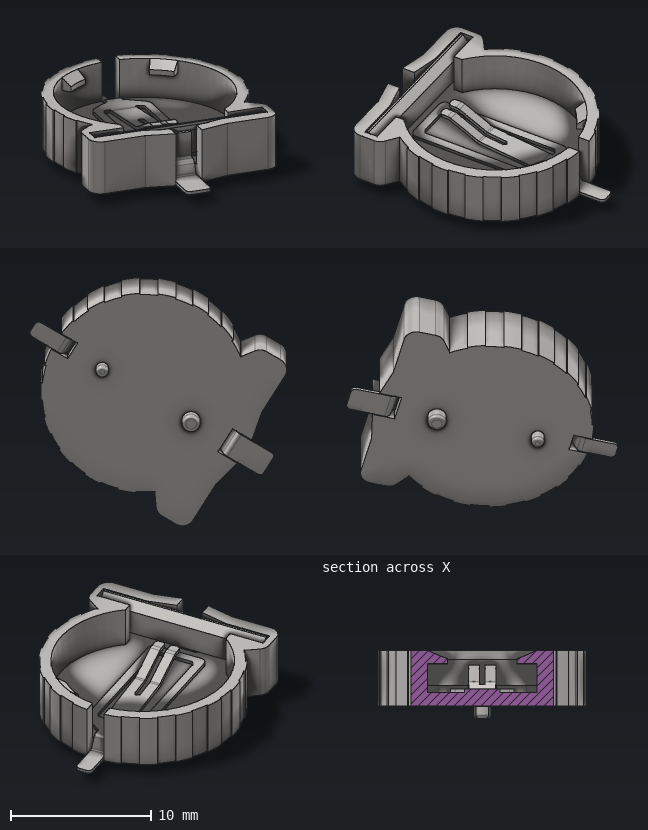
import cadquery as cq
import math


body_height = 4.0
floor_height = 1.0
pocket_radius = 6.55
ridge_radius = 7.45
groove_radius = 7.35
ridge_angle = 10.13
ridge_count = 5
left_ridge_angle = 3 * ridge_angle

ear_half_width = 7.175
ear_right_x = 7.87
ear_corner_radius = 0.9
ear_corner_x = 5.34
ear_root_x = 4.43
ear_root_y = 5.92
bulge_start_y = 3.15
bulge_end_y = 1.0
bulge_depth = 0.48
throat_half_width = 4.02
recess_left_x = 5.85
recess_right_x = 6.86
recess_half_width = 6.64

lug_start_angle = 25.0
lug_end_angle = 43.0
lug_inner_radius = 5.82
lug_inner_top = 3.42
lug_bottom = 3.03

peg_length = 0.9
peg_edge_radius = 0.27
small_peg_diameter = 0.9
small_peg_x = -3.57
large_peg_diameter = 1.3
large_peg_x = 3.86

sheet = 0.25
bend_radius = 0.15
lead_corner_radius = 0.35
slot_clearance = 0.05
plate_top = floor_height + sheet

left_lead_end_x = -9.4
left_lead_bend_x = -6.05
left_lead_width = 1.25
left_lead_slope = 60.0
neck_end_x = -5.73
plate_shoulder_x = -4.6
plate_right_x = 5.73
plate_half_width = 2.25
plate_shoulder_radius = 0.7
plate_corner_radius = 0.5
window_left_x = -4.2
window_right_x = 5.07
window_half_width = 1.58
window_corner_radius = 0.35

tongue_bend_x = -4.0
tongue_half_width = 0.98
tongue_knee_x = 0.67
tongue_tip_bend_x = 3.1
tongue_tip_x = 4.06
tongue_low_slope = 6.0
tongue_high_slope = 26.0
tongue_bend_radius = 0.4
tip_corner_radius = 0.28
slit_left_x = -0.94
slit_width = 0.42
slit_end_radius = 0.2

upright_front_x = 6.03
upright_half_width = 6.52
upright_bottom_z = 1.5
upright_bend_z = 3.33
upright_lip_front_x = 6.6
upright_lip_back_x = 6.76
right_lead_bend_x = 6.72
right_lead_end_x = 10.36
right_lead_width = 1.9
right_lead_slope = 70.0


def box(x_range, y_half, z_range):
    """Box symmetric about the XZ plane."""
    x_size = x_range[1] - x_range[0]
    z_size = z_range[1] - z_range[0]
    return (
        cq.Workplane("XY")
        .box(x_size, 2 * y_half, z_size, centered=(False, True, False))
        .translate((x_range[0], 0, z_range[0]))
    )


def polar(radius, angle_from_left):
    """Point at an angle measured clockwise from the -X axis."""
    angle = math.radians(180.0 - angle_from_left)
    return (radius * math.cos(angle), radius * math.sin(angle))


def mirrored(points):
    """Closed outline from its +Y half, listed from one end to the other."""
    return points + [(x, -y) for x, y in reversed(points)]


def sector(radius, centre, width, height):
    """Pie slice of the round wall."""
    return (
        cq.Workplane("XY")
        .lineTo(*polar(radius, centre - width / 2))
        .threePointArc(polar(radius, centre), polar(radius, centre + width / 2))
        .close()
        .extrude(height)
    )


def make_round_wall():
    wall = cq.Workplane("XY").circle(groove_radius).extrude(body_height)
    wall = wall.union(sector(ridge_radius, 0, left_ridge_angle, body_height))
    for index in range(ridge_count):
        centre = left_ridge_angle + 2 * index * ridge_angle
        for side in (1, -1):
            wall = wall.union(sector(ridge_radius, side * centre, ridge_angle, body_height))
    return wall


def make_ears():
    outline = mirrored([
        (ear_root_x, ear_root_y),
        (ear_corner_x, ear_half_width),
        (ear_right_x, ear_half_width),
        (ear_right_x, bulge_start_y),
        (ear_right_x + bulge_depth, bulge_end_y),
    ])
    ears = cq.Workplane("XY").polyline(outline).close().extrude(body_height)
    corner_y = ear_half_width - ear_corner_radius / 2
    for side in (1, -1):
        corners = cq.selectors.BoxSelector(
            (ear_corner_x - ear_corner_radius, side * corner_y, 0),
            (ear_right_x + ear_corner_radius, side * (ear_half_width + ear_corner_radius), body_height),
        )
        ears = ears.edges("|Z").edges(corners).fillet(ear_corner_radius)
    return ears


def make_cavity():
    depth = body_height - floor_height
    bore = cq.Workplane("XY").circle(pocket_radius).extrude(depth)
    throat = box((0, recess_right_x), throat_half_width, (0, depth))
    recess = box((recess_left_x, recess_right_x), recess_half_width, (0, depth))
    bulge_outline = mirrored([
        (recess_left_x, bulge_start_y),
        (recess_right_x, bulge_start_y),
        (recess_right_x + bulge_depth, bulge_end_y),
    ])
    bulge = cq.Workplane("XY").polyline(bulge_outline).close().extrude(depth)
    return bore.union(throat).union(recess).union(bulge).translate((0, 0, floor_height))


def make_lug(side):
    """Snap lug with a sloped top, swept around the pocket axis."""
    outer = (groove_radius + pocket_radius) / 2
    profile = [
        (-outer, lug_bottom),
        (-lug_inner_radius, lug_bottom),
        (-lug_inner_radius, lug_inner_top),
        (-pocket_radius, body_height),
        (-outer, body_height),
    ]
    sweep = lug_end_angle - lug_start_angle
    lug = cq.Workplane("XZ").polyline(profile).close().revolve(sweep, (0, 0), (0, 1))
    first_angle = -lug_end_angle if side > 0 else lug_start_angle
    return lug.rotate((0, 0, 0), (0, 0, 1), first_angle)


def make_peg(x, diameter):
    return (
        cq.Workplane("XY")
        .circle(diameter / 2)
        .extrude(-peg_length)
        .faces("<Z")
        .edges()
        .fillet(peg_edge_radius)
        .translate((x, 0, 0))
    )


def make_body():
    body = make_round_wall().union(make_ears()).cut(make_cavity())
    left_slot = box(
        (left_lead_end_x, left_lead_bend_x),
        left_lead_width / 2 + slot_clearance,
        (0, body_height),
    )
    right_slot = box(
        (right_lead_bend_x, right_lead_end_x),
        right_lead_width / 2 + slot_clearance,
        (0, body_height),
    )
    body = body.cut(left_slot).cut(right_slot)
    body = body.union(make_lug(1)).union(make_lug(-1))
    body = body.union(make_peg(small_peg_x, small_peg_diameter))
    return body.union(make_peg(large_peg_x, large_peg_diameter))


def bent_strip(start, steps, width, start_heading=0.0):
    """Sheet strip followed along its top face, first towards +X unless a heading is given.

    Each step is ("straight", length) or ("bend", angle, inside radius); positive
    angles bend upwards.
    """
    def underside(point, angle):
        return (point[0] + sheet * math.sin(angle), point[1] - sheet * math.cos(angle))

    heading = math.radians(start_heading)
    x, z = start
    strip = cq.Workplane("XZ").moveTo(x, z)
    under_points = [underside(start, heading)]
    under_middles = []
    for kind, amount, *radii in steps:
        if kind == "straight":
            x += amount * math.cos(heading)
            z += amount * math.sin(heading)
            strip = strip.lineTo(x, z)
            under_middles.append(None)
        else:
            turn = math.radians(amount)
            radius = radii[0] if turn > 0 else -(radii[0] + sheet)
            centre_x = x - radius * math.sin(heading)
            centre_z = z + radius * math.cos(heading)
            half_way = heading + turn / 2
            heading += turn
            middle = (centre_x + radius * math.sin(half_way), centre_z - radius * math.cos(half_way))
            x = centre_x + radius * math.sin(heading)
            z = centre_z - radius * math.cos(heading)
            strip = strip.threePointArc(middle, (x, z))
            under_middles.append(underside(middle, half_way))
        under_points.append(underside((x, z), heading))

    strip = strip.lineTo(*under_points.pop())
    for middle, point in zip(reversed(under_middles), reversed(under_points)):
        if middle is None:
            strip = strip.lineTo(*point)
        else:
            strip = strip.threePointArc(middle, point)
    return strip.close().extrude(width / 2, both=True)


def lead_steps(length, slope):
    """Drop from the plate level to the underside of the body, then a flat foot."""
    angle = math.radians(slope)
    bend_radii = 2 * bend_radius + sheet
    straight_drop = floor_height - bend_radii * (1 - math.cos(angle))
    slope_length = straight_drop / math.sin(angle)
    foot_length = length - bend_radii * math.sin(angle) - slope_length * math.cos(angle)
    return [
        ("bend", -slope, bend_radius),
        ("straight", slope_length),
        ("bend", slope, bend_radius),
        ("straight", foot_length),
    ]


def round_foot(lead):
    """Round the two corners at the free end of a lead."""
    return lead.edges("|Z").edges(">X").fillet(lead_corner_radius)


def make_tongue():
    low = math.radians(tongue_low_slope)
    high = math.radians(tongue_high_slope)
    knee_turn = tongue_high_slope - tongue_low_slope
    knee_end_x = tongue_knee_x + tongue_bend_radius * (math.sin(high) - math.sin(low))
    root_end_x = tongue_bend_x + tongue_bend_radius * math.sin(low)
    tip_start_x = tongue_tip_bend_x + (tongue_bend_radius + sheet) * math.sin(high)
    steps = [
        ("straight", tongue_bend_x - window_left_x),
        ("bend", tongue_low_slope, tongue_bend_radius),
        ("straight", (tongue_knee_x - root_end_x) / math.cos(low)),
        ("bend", knee_turn, tongue_bend_radius),
        ("straight", (tongue_tip_bend_x - knee_end_x) / math.cos(high)),
        ("bend", -tongue_high_slope, tongue_bend_radius),
        ("straight", tongue_tip_x - tip_start_x),
    ]
    tongue = bent_strip((window_left_x, plate_top), steps, 2 * tongue_half_width)
    slit_end_x = tongue_tip_x + slit_width
    slit = (
        box((slit_left_x, slit_end_x), slit_width / 2, (0, body_height))
        .edges("|Z and <X")
        .fillet(slit_end_radius)
    )
    return tongue.cut(slit).edges("|Z").edges(">X").fillet(tip_corner_radius)


def make_flat_contact():
    neck_half = left_lead_width / 2
    outline = mirrored([
        (left_lead_bend_x, neck_half),
        (neck_end_x, neck_half),
        (plate_shoulder_x, plate_half_width),
        (plate_right_x, plate_half_width),
    ])
    plate = cq.Workplane("XY").polyline(outline).close().extrude(sheet)
    plate = plate.edges("|Z and >X").fillet(plate_corner_radius)
    shoulders = cq.selectors.BoxSelector(
        (plate_shoulder_x - sheet, -2 * plate_half_width, 0),
        (plate_shoulder_x + sheet, 2 * plate_half_width, sheet),
    )
    plate = plate.edges("|Z").edges(shoulders).fillet(plate_shoulder_radius)
    window = (
        box((window_left_x, window_right_x), window_half_width, (0, sheet))
        .edges("|Z")
        .fillet(window_corner_radius)
    )
    plate = plate.cut(window).translate((0, 0, floor_height))
    steps = lead_steps(left_lead_bend_x - left_lead_end_x, left_lead_slope)
    lead = round_foot(bent_strip((0, plate_top), steps, left_lead_width))
    lead = lead.rotate((0, 0, 0), (0, 0, 1), 180).translate((left_lead_bend_x, 0, 0))
    return plate.union(lead).union(make_tongue())


def make_upright_contact():
    """Wide plate with a lip leaning away from the cell, on a leg that runs down its back."""
    back_x = upright_front_x + sheet
    lip_angle = math.atan2(body_height - upright_bend_z, upright_lip_front_x - upright_front_x)
    back_bend_z = upright_bend_z - sheet * math.tan(math.pi / 4 - lip_angle / 2)
    back_lip_z = back_bend_z + (upright_lip_back_x - back_x) * math.tan(lip_angle)
    profile = [
        (upright_front_x, upright_bottom_z),
        (upright_front_x, upright_bend_z),
        (upright_lip_front_x, body_height),
        (upright_lip_back_x, body_height),
        (upright_lip_back_x, back_lip_z),
        (back_x, back_bend_z),
        (back_x, upright_bottom_z),
    ]
    upright = cq.Workplane("XZ").polyline(profile).close().extrude(upright_half_width, both=True)
    leg_back_x = back_x + sheet
    leg_end_z = plate_top + bend_radius
    flange_length = right_lead_bend_x - leg_back_x - bend_radius
    steps = [
        ("straight", back_bend_z - leg_end_z),
        ("bend", 90, bend_radius),
        ("straight", flange_length),
    ]
    steps += lead_steps(right_lead_end_x - right_lead_bend_x, right_lead_slope)
    lead = bent_strip((leg_back_x, back_bend_z), steps, right_lead_width, start_heading=-90)
    return upright.union(round_foot(lead))


result = make_body().union(make_flat_contact()).union(make_upright_contact())